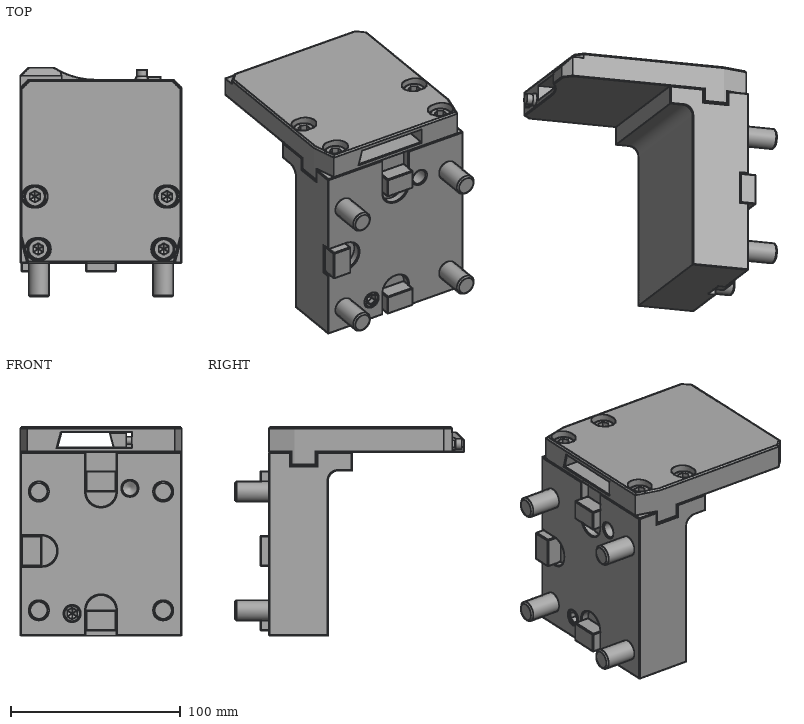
import cadquery as cq
import math

overall_width = 95.2
half_width = overall_width / 2
edge_chamfer = 0.5

bracket_depth = 35.0
bracket_height = 108.0
arm_length = 49.0
arm_bottom = 97.2
arm_fillet = 6.0

groove_front = 13.0
groove_back = 28.2
groove_floor = 100.0
tongue_clearance = 0.47

pattern_height = 50.0
pin_offset_x = 36.6
pin_offset_z = 35.0
pin_diameter = 12.0
pin_length = 20.0
pin_chamfer = 1.0
key_width = 18.0
key_length = 12.0
side_key_inset = 0.7
key_embed = 5.0
key_height = 10.0
key_places = [
    (0, pattern_height + pin_offset_z, 90),
    (0, pattern_height - pin_offset_z, -90),
    (key_length - half_width + side_key_inset, pattern_height, 180),
]
hole_offset_x = 17.0
hole_offset_z = 36.9
hole_radius = 4.5
hole_mouth_chamfer = 0.7
hole_depth = 15.0
drill_half_angle = 59

table_top = 123.0
table_length = 108.0
table_rim_chamfer = 1.0
rear_corner = 5.0
front_corner_length = 15.3
front_corner_width = 4.0
step_height = 119.9

lip_end = 115.0
lip_corner = 4.9
lip_curve_start = -27.7
lip_curve_radius = 45.0

channel_floor = 111.0
channel_right = 18.2
channel_left_top = -23.2
dovetail_angle = 15
strip_left_top = 5.1
strip_right = 15.0
strip_front = 20.2
strip_back = 87.8
strip_top_gap = 0.5
strip_screw_radius = 2.3
strip_screw_height = 114.9

screw_positions = [(38.9, 39.2), (37.0, 8.2)]
head_radius = 6.5
head_chamfer = 0.8
head_recess = 3.0
head_height = 8.0
counterbore_width = 13.1
counterbore_length = 15.1

socket_flats = 6.0
socket_depth = 3.5
socket_taper = 60
socket_point = 1.6
set_screw_recess = 0.7

plunger_x = 24.0
plunger_height = 113.0
plunger_tip = 113.7
plunger_radius = 3.1
plunger_base_radius = 3.9
plunger_shoulder = 110.0
plunger_root = 106.6
stop_left = 27.7
stop_right = 35.1
stop_end = 109.6
stop_height = 4.0


def box(x, y, z):
    """Box from three (low, high) pairs."""
    size = [high - low for low, high in (x, y, z)]
    return cq.Workplane("XY").box(*size, centered=False).translate((x[0], y[0], z[0]))


def on_mounting_face(tool, x, z, y=0.0):
    """Turn a tool that points along -Z so that it points into the mounting face."""
    return tool.rotate((0, 0, 0), (1, 0, 0), 90).translate((x, y, z))


def turned(outline):
    """Solid of revolution about Z from (radius, height) points."""
    return cq.Workplane("XZ").polyline(outline).close().revolve(360, (0, 0), (0, 1))


def drilled_hole(radius, depth):
    """Round hole below Z = 0 that ends in a drill point."""
    point = radius / math.tan(math.radians(drill_half_angle))
    return turned([(0, 0), (radius, 0), (radius, -depth), (0, -depth - point)])


def hexagon_socket():
    """Hexagon socket below Z = 0 that narrows like a pyramid at its floor."""
    corners = socket_flats / math.cos(math.radians(30))
    prism = cq.Workplane("XY").polygon(6, corners).extrude(-socket_depth)
    pyramid = (
        cq.Workplane("XY", origin=(0, 0, -socket_depth))
        .polygon(6, corners)
        .extrude(-socket_point, taper=socket_taper)
    )
    return prism.union(pyramid).rotate((0, 0, 0), (0, 0, 1), 90)


def key_slot(angle):
    """Round-ended slot below Z = 0, open towards local +X, turned by an angle."""
    slot = cq.Workplane("XY").circle(key_width / 2).extrude(-key_embed)
    run = box((0, half_width), (-key_width / 2, key_width / 2), (-key_embed, 0))
    return slot.union(run).rotate((0, 0, 0), (0, 0, 1), angle)


def key(angle):
    """Chamfered key that starts at the centre of the slot's round end."""
    half = key_width / 2
    block = box((0, key_length), (-half, half), (-key_embed, key_height - key_embed))
    return block.edges().chamfer(edge_chamfer).rotate((0, 0, 0), (0, 0, 1), angle)


def make_bracket():
    side_profile = (
        cq.Workplane("YZ")
        .moveTo(0, 0)
        .lineTo(bracket_depth, 0)
        .lineTo(bracket_depth, arm_bottom - arm_fillet)
        .radiusArc((bracket_depth + arm_fillet, arm_bottom), arm_fillet)
        .lineTo(arm_length, arm_bottom)
        .lineTo(arm_length, bracket_height)
        .lineTo(groove_back, bracket_height)
        .lineTo(groove_back, groove_floor)
        .lineTo(groove_front, groove_floor)
        .lineTo(groove_front, bracket_height)
        .lineTo(0, bracket_height)
        .close()
    )
    bracket = side_profile.extrude(half_width, both=True)
    for x, z, angle in key_places:
        bracket = bracket.cut(on_mounting_face(key_slot(angle), x, z))
    bracket = bracket.faces("<Y or <X or >X").edges().chamfer(edge_chamfer)
    for x, z, angle in key_places:
        bracket = bracket.union(on_mounting_face(key(angle), x, z))
    return bracket


def mounting_pin():
    pin = cq.Workplane("XY").circle(pin_diameter / 2).extrude(pin_length)
    return pin.faces(">Z").chamfer(pin_chamfer)


def threaded_hole():
    mouth = hole_radius + hole_mouth_chamfer
    funnel = turned([(0, 0), (mouth, 0), (hole_radius, -hole_mouth_chamfer), (0, -hole_mouth_chamfer)])
    return drilled_hole(hole_radius, hole_depth).union(funnel)


def set_screw():
    screw = cq.Workplane("XY").circle(hole_radius).extrude(-hole_depth)
    return screw.cut(hexagon_socket())


def add_mounting_face_features(body):
    for side in (-1, 1):
        for level in (-1, 1):
            place = (side * pin_offset_x, pattern_height + level * pin_offset_z)
            body = body.union(on_mounting_face(mounting_pin(), *place))
        place = (side * hole_offset_x, pattern_height + side * hole_offset_z)
        body = body.cut(on_mounting_face(threaded_hole(), *place))
    screw_place = (-hole_offset_x, pattern_height - hole_offset_z)
    return body.union(on_mounting_face(set_screw(), *screw_place, set_screw_recess))


def front_outline():
    """Start of the table outline: along the narrowed front, ending on the right side."""
    front_half = half_width - front_corner_width
    return (
        cq.Workplane("XY")
        .moveTo(-half_width, front_corner_length)
        .lineTo(-front_half, 0)
        .lineTo(front_half, 0)
        .lineTo(half_width, front_corner_length)
    )


def table_base():
    """Lower layer of the table, with the lip at its rear left."""
    rise = lip_end - table_length
    curve_end = lip_curve_start + math.sqrt(lip_curve_radius**2 - (lip_curve_radius - rise) ** 2)
    base = (
        front_outline()
        .lineTo(half_width, table_length - rear_corner)
        .lineTo(half_width - rear_corner, table_length)
        .lineTo(curve_end, table_length)
        .radiusArc((lip_curve_start, lip_end), lip_curve_radius)
        .lineTo(lip_corner - half_width, lip_end)
        .lineTo(-half_width, lip_end - lip_corner)
        .close()
        .extrude(step_height - bracket_height)
        .translate((0, 0, bracket_height))
    )
    base = base.faces("<Z").edges().chamfer(edge_chamfer)
    bevel = (
        cq.Workplane("YZ")
        .polyline([
            (lip_end, step_height),
            (lip_end - lip_corner, step_height),
            (lip_end, step_height - lip_corner),
        ])
        .close()
        .extrude(half_width, both=True)
    )
    return base.cut(bevel)


def table_plate():
    """Upper layer of the table, with all four corners cut."""
    plate = (
        front_outline()
        .lineTo(half_width, table_length - rear_corner)
        .lineTo(half_width - rear_corner, table_length)
        .lineTo(rear_corner - half_width, table_length)
        .lineTo(-half_width, table_length - rear_corner)
        .close()
        .extrude(table_top - step_height)
        .translate((0, 0, step_height))
    )
    return plate.faces(">Z").edges().chamfer(table_rim_chamfer)


def table_tongue():
    """Tongue in the groove of the bracket, just clear of the groove's floor and back."""
    bottom = groove_floor + tongue_clearance
    back = groove_back - tongue_clearance
    bar = box((-half_width, half_width), (groove_front, back), (bottom, channel_floor))
    footprint = (
        front_outline()
        .lineTo(half_width, back)
        .lineTo(-half_width, back)
        .close()
        .extrude(table_top)
    )
    tongue = bar.intersect(footprint)
    end_edges = tongue.faces("<Z").edges("not |X").add(tongue.faces("<Y or >Y").edges("|Z"))
    return tongue.newObject(end_edges.vals()).chamfer(edge_chamfer)


def dovetail_channel():
    """Channel along Y, undercut on the left and straight on the right."""
    height = step_height - channel_floor
    left_bottom = channel_left_top - height * math.tan(math.radians(dovetail_angle))
    return (
        cq.Workplane("XZ")
        .polyline([
            (left_bottom, channel_floor),
            (channel_left_top, step_height),
            (channel_right, step_height),
            (channel_right, channel_floor),
        ])
        .close()
        .extrude(-lip_end)
    )


def chamfer_channel_mouth(table):
    """Break the floor and left edges of the channel where it meets the front."""
    height = step_height - channel_floor
    undercut = height * math.tan(math.radians(dovetail_angle))
    left_middle = channel_left_top - undercut / 2
    floor_middle = (channel_left_top - undercut + channel_right) / 2
    floor_edge = cq.selectors.NearestToPointSelector((floor_middle, 0, channel_floor))
    left_edge = cq.selectors.NearestToPointSelector((left_middle, 0, channel_floor + height / 2))
    return table.edges(floor_edge + left_edge).chamfer(edge_chamfer)


def clamping_strip():
    """Strip with an undercut left side, held by a screw across the channel."""
    top = step_height - strip_top_gap
    left_bottom = strip_left_top + (top - channel_floor) * math.tan(math.radians(dovetail_angle))
    strip = (
        cq.Workplane("XZ", origin=(0, strip_front, 0))
        .polyline([
            (left_bottom, channel_floor),
            (strip_left_top, top),
            (strip_right, top),
            (strip_right, channel_floor),
        ])
        .close()
        .extrude(strip_front - strip_back)
    )
    screw = (
        cq.Workplane("YZ", origin=(strip_right, (strip_front + strip_back) / 2, strip_screw_height))
        .circle(strip_screw_radius)
        .extrude(channel_right - strip_right)
    )
    return strip.union(screw)


def rear_plunger():
    outline = [
        (0, plunger_root),
        (plunger_base_radius, plunger_root),
        (plunger_base_radius, table_length),
        (plunger_radius, plunger_shoulder),
        (plunger_radius, plunger_tip),
        (0, plunger_tip),
    ]
    plunger = turned(outline).rotate((0, 0, 0), (1, 0, 0), -90)
    return plunger.translate((plunger_x, 0, plunger_height))


def rear_stop():
    return box(
        (stop_left, stop_right),
        (plunger_root, stop_end),
        (plunger_height - stop_height / 2, plunger_height + stop_height / 2),
    )


def counterbore():
    depth = head_recess + head_height
    return cq.Workplane("XY").slot2D(counterbore_length, counterbore_width).extrude(-depth)


def cap_screw_head():
    head = cq.Workplane("XY").circle(head_radius).extrude(-head_height)
    return head.faces(">Z").chamfer(head_chamfer).cut(hexagon_socket())


def make_table():
    table = table_base().union(table_plate()).union(table_tongue())
    table = chamfer_channel_mouth(table.cut(dovetail_channel()))
    table = table.union(clamping_strip()).union(rear_plunger()).union(rear_stop())
    for x, y in screw_positions:
        for side in (-1, 1):
            table = table.cut(counterbore().translate((side * x, y, table_top)))
            head = cap_screw_head().translate((side * x, y, table_top - head_recess))
            table = table.union(head)
    return table


result = add_mounting_face_features(make_bracket().union(make_table()))